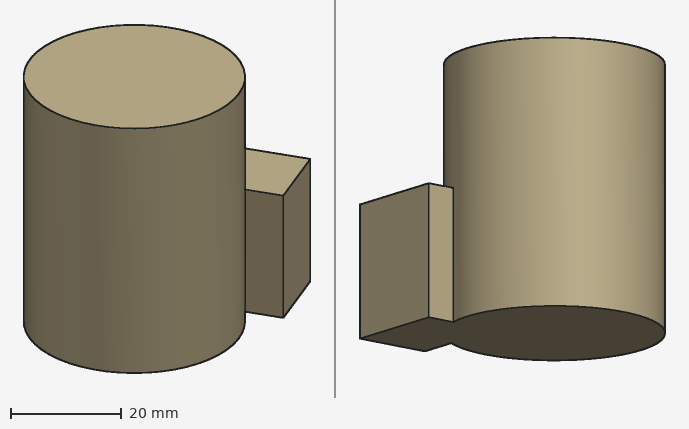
import cadquery as cq

cylinder_diameter = 40
cylinder_height = 50

block_length = 20
block_width = 15
block_height = cylinder_height / 2
block_overhang = 5

block_outer = cylinder_diameter / 2 + block_overhang
block_start_x = block_outer - block_length
block_start_y = block_outer - block_width

cylinder = cq.Workplane("XY").circle(cylinder_diameter / 2).extrude(cylinder_height)

block = (
    cq.Workplane("XY")
    .box(block_length, block_width, block_height, centered=False)
    .translate((block_start_x, block_start_y, 0))
)

result = cylinder.union(block)